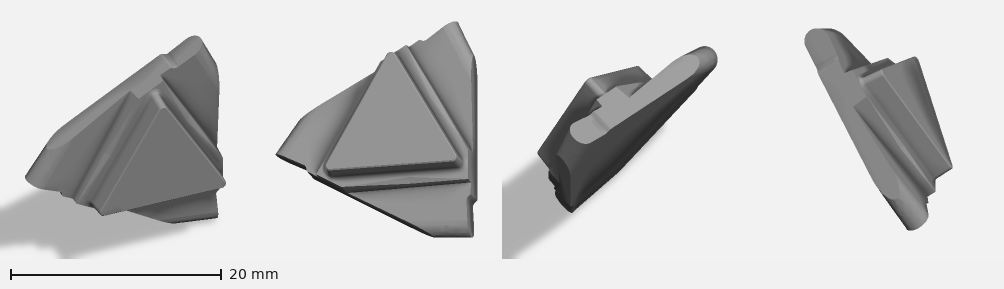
import cadquery as cq
import math

CORNERS = 3
CORNER_STEP = 360.0 / CORNERS

BODY_INRADIUS = 7.09
BODY_SIDE_ANGLE = 60.0
BODY_THICKNESS = 3.21
BODY_DRAFT = 1.5

TIP = (12.34, -0.775)
RAKE_ROOT = (9.47, -2.20)
FLANK_END = (10.12, 2.36)

GULLET_MID = (9.13, -2.47)
GULLET_END = (9.07, -2.70)
GULLET_CROWN = (9.00, -2.95)
GULLET_SIDE = (8.86, -3.11)

NOSE_TAIL = 3.12
NOSE_TAIL_LOSS = 0.258
FRONT_RELIEF = 0.024
NOSE_START = -1.0
NOSE_FINISH = 16.0
NOSE_DEPTH = 30.0

BLADE_ORIGIN = 1.49
BLADE_SLOPE_OUT = 0.0969
BLADE_SLOPE_UP = -0.0123

WALL_ANGLE = 30.6
WALL_DISTANCE = 5.02
WALL_DRAFT = 5.0

RELIEF_MIDDLE = 1.2
RELIEF_HALF_LENGTH = 11.0
RELIEF_START = 4.46
RELIEF_END = 5.5
RELIEF_DEPTH = 0.5

TOTAL_LENGTH = 5.54
BOSS_ANGLE = 30.0
BOSS_BASE_INRADIUS = 4.02
BOSS_DRAFT = 2.5
BOSS_CORNER_RADIUS = 0.48
BOSS_ROOT = 0.5
BOSS_FILLET = 0.40
BOSS_EDGE_MARGIN = 0.1
BOSS_CHAMFER = 0.11

CLEARANCE = 1.0
RAKE_CUT_REACH = 12.0
LARGE = 40.0


def to_space(x, out, up):
    return cq.Vector(x, -out, up)


def triangle(inradius, first_normal):
    """Corners (out, up) of a regular triangle; first_normal is the direction of one side."""
    circumradius = 2 * inradius
    corners = []
    for k in range(CORNERS):
        angle = math.radians(first_normal + CORNER_STEP * (k + 0.5))
        corners.append((circumradius * math.cos(angle), circumradius * math.sin(angle)))
    return corners


def section_plane(x):
    """Plane across the axis with local axes out and up, facing -X."""
    return cq.Plane(origin=(x, 0, 0), xDir=(0, -1, 0), normal=(-1, 0, 0))


def polyhedron(points, faces):
    shells = []
    for face in faces:
        wire = cq.Wire.makePolygon([points[i] for i in face], close=True)
        shells.append(cq.Face.makeFromWires(wire))
    return cq.Workplane(cq.Solid.makeSolid(cq.Shell.makeShell(shells)))


def make_body():
    outline = triangle(BODY_INRADIUS, BODY_SIDE_ANGLE)
    return (
        cq.Workplane(section_plane(0))
        .polyline(outline)
        .close()
        .extrude(-BODY_THICKNESS, taper=BODY_DRAFT)
    )


def beyond(start, end, distance):
    """Point past end, continuing the line from start."""
    length = math.dist(start, end)
    return tuple(e + (e - s) * distance / length for s, e in zip(start, end))


def make_rake_cut():
    """Everything on the open side of the rake face and its chip gullet."""
    rake_far = beyond(RAKE_ROOT, TIP, RAKE_CUT_REACH)
    side_far = beyond(GULLET_CROWN, GULLET_SIDE, CLEARANCE)
    return (
        cq.Workplane(section_plane(-CLEARANCE))
        .moveTo(*side_far)
        .lineTo(*GULLET_CROWN)
        .lineTo(*GULLET_END)
        .threePointArc(GULLET_MID, RAKE_ROOT)
        .lineTo(*rake_far)
        .lineTo(rake_far[0], side_far[1])
        .close()
        .extrude(-BODY_THICKNESS - 2 * CLEARANCE)
    )


def blade_x(out, up):
    return BLADE_ORIGIN + BLADE_SLOPE_OUT * out + BLADE_SLOPE_UP * up


def nose_section(along):
    """Full-round tongue parallel to the rake face, at a distance along the flank."""
    flank_length = math.dist(TIP, FLANK_END)
    flank = [(e - s) / flank_length for s, e in zip(TIP, FLANK_END)]
    rake_length = math.dist(TIP, RAKE_ROOT)
    inward = [(e - s) / rake_length for s, e in zip(TIP, RAKE_ROOT)]

    def place(depth):
        return tuple(TIP[i] + flank[i] * along + inward[i] * depth for i in range(2))

    front_start = FRONT_RELIEF * (NOSE_TAIL - NOSE_TAIL_LOSS * along)
    rear_start = blade_x(*place(0))
    rear_relief = rear_start - blade_x(*place(1))

    def front(depth):
        return to_space(front_start - FRONT_RELIEF * depth, *place(depth))

    def rear(depth):
        return to_space(rear_start - rear_relief * depth, *place(depth))

    front_angle = math.atan(FRONT_RELIEF)
    rear_angle = math.atan(rear_relief)
    spread = rear_relief - FRONT_RELIEF + 1 / math.cos(front_angle) + 1 / math.cos(rear_angle)
    radius = (rear_start - front_start) / spread
    nose_x = front_start - FRONT_RELIEF * radius + radius / math.cos(front_angle)
    front_touch = front(radius * (1 - math.sin(front_angle)))
    rear_touch = rear(radius * (1 + math.sin(rear_angle)))
    arc = cq.Edge.makeThreePointArc(front_touch, to_space(nose_x, *place(0)), rear_touch)
    return cq.Wire.assembleEdges([
        cq.Edge.makeLine(front(NOSE_DEPTH), front_touch),
        arc,
        cq.Edge.makeLine(rear_touch, rear(NOSE_DEPTH)),
        cq.Edge.makeLine(rear(NOSE_DEPTH), front(NOSE_DEPTH)),
    ])


def wall_box():
    """Region outside the drafted wall."""
    facing = math.radians(WALL_ANGLE)
    draft = math.radians(WALL_DRAFT)
    across = math.cos(draft)
    normal = to_space(math.sin(draft), across * math.cos(facing), across * math.sin(facing))
    origin = to_space(
        BODY_THICKNESS, WALL_DISTANCE * math.cos(facing), WALL_DISTANCE * math.sin(facing)
    )
    plane = cq.Plane(origin=origin, xDir=(0, math.sin(facing), math.cos(facing)), normal=normal)
    return cq.Workplane(plane).rect(LARGE, LARGE).extrude(LARGE / 2)


def blade_rear_box():
    """Region behind the rear side of the blade."""
    normal = to_space(1, -BLADE_SLOPE_OUT, -BLADE_SLOPE_UP)
    plane = cq.Plane(origin=(BLADE_ORIGIN, 0, 0), xDir=(BLADE_SLOPE_OUT, -1, 0), normal=normal)
    return cq.Workplane(plane).rect(LARGE, LARGE).extrude(LARGE / 2)


def nose_waste():
    """Material outside the full-round nose."""
    tongue = cq.Solid.makeLoft([nose_section(NOSE_START), nose_section(NOSE_FINISH)], True)
    return wall_box().cut(blade_rear_box()).cut(cq.Workplane(tongue))


def seat_relief():
    """Shallow V, deepest at the middle of the wall."""
    facing = math.radians(WALL_ANGLE)

    def place(x, distance, sideways):
        out = distance * math.cos(facing) + sideways * math.sin(facing)
        up = distance * math.sin(facing) - sideways * math.cos(facing)
        return to_space(x, out, up)

    top = BODY_THICKNESS
    points = [
        place(top, RELIEF_START, RELIEF_MIDDLE),
        place(top, RELIEF_END, RELIEF_MIDDLE - RELIEF_HALF_LENGTH),
        place(top, RELIEF_END, RELIEF_MIDDLE + RELIEF_HALF_LENGTH),
        place(top - RELIEF_DEPTH, RELIEF_END, RELIEF_MIDDLE),
    ]
    return polyhedron(points, [(0, 1, 2), (0, 1, 3), (0, 2, 3), (1, 2, 3)])


def make_boss():
    start = BODY_THICKNESS - BOSS_ROOT
    inradius = BOSS_BASE_INRADIUS + BOSS_ROOT * math.tan(math.radians(BOSS_DRAFT))
    boss = (
        cq.Workplane(section_plane(start))
        .polyline(triangle(inradius, BOSS_ANGLE))
        .close()
        .extrude(-(TOTAL_LENGTH - start), taper=BOSS_DRAFT)
    )
    upright = cq.selectors.BoxSelector(
        (start + BOSS_EDGE_MARGIN, -LARGE, -LARGE),
        (TOTAL_LENGTH - BOSS_EDGE_MARGIN, LARGE, LARGE),
    )
    boss = boss.edges(upright).fillet(BOSS_CORNER_RADIUS)
    return boss.faces(">X").chamfer(BOSS_CHAMFER)


def fillet_boss_root(part):
    """Round the edges where the boss sides meet the rear face."""
    root_limit = BOSS_BASE_INRADIUS + BOSS_EDGE_MARGIN
    facings = [math.radians(BOSS_ANGLE + CORNER_STEP * k) for k in range(CORNERS)]

    def is_root(edge):
        center = edge.Center()
        distance = max(-center.y * math.cos(f) + center.z * math.sin(f) for f in facings)
        at_rear = BODY_THICKNESS - BOSS_EDGE_MARGIN < center.x < BODY_THICKNESS + BOSS_EDGE_MARGIN
        return at_rear and distance < root_limit

    return part.edges().filter(is_root).fillet(BOSS_FILLET)


def at_corners(shape):
    return [shape.rotate((0, 0, 0), (1, 0, 0), CORNER_STEP * k) for k in range(CORNERS)]


body = make_body()
for cutter in (make_rake_cut(), wall_box().intersect(blade_rear_box()), nose_waste(), seat_relief()):
    for cut in at_corners(cutter):
        body = body.cut(cut)

result = fillet_boss_root(body.union(make_boss()))